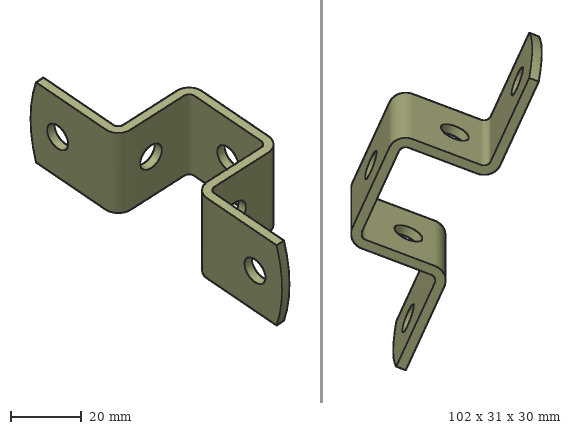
import cadquery as cq

length = 102.0
depth = 31.0
height = 30.0

thickness = 3.0
hat_width = 37.0
inner_radius = 2.0
outer_radius = inner_radius + thickness
end_radius = length / 2

hole_diameter = 8.5
flange_hole_x = 40.0
wall_hole_y = 13.1


def extrude_upright(sketch):
    """Extrude a plan outline to the strap height, centred on Z = 0."""
    return sketch.extrude(height / 2, both=True)


def block(width, y_min, y_max):
    """Full-height block centred on X, spanning y_min to y_max."""
    middle = (y_min + y_max) / 2
    return extrude_upright(cq.Workplane("XY").center(0, middle).rect(width, y_max - y_min))


def round_edges(body, y, radius):
    """Round the two upright edges of a body at the given Y."""
    margin = 0.1
    selector = cq.selectors.BoxSelector(
        (-hat_width, y - margin, -height), (hat_width, y + margin, height)
    )
    return body.edges("|Z").edges(selector).fillet(radius)


def bent_sheet():
    """Two flanges joined by a hat of two side walls and a web."""
    body = block(length, 0, thickness).union(block(hat_width, 0, depth))
    body = round_edges(body, thickness, inner_radius)
    body = round_edges(body, depth, outer_radius)
    channel = block(hat_width - 2 * thickness, 0, depth - thickness)
    body = body.cut(channel)
    body = round_edges(body, 0, outer_radius)
    return round_edges(body, depth - thickness, inner_radius)


def rounded_ends():
    """Disc that trims both flange ends to an arc."""
    return cq.Workplane("XZ").circle(end_radius).extrude(-depth)


def front_holes():
    """Holes along Y through the two flanges and the web."""
    centres = [(x, 0) for x in (-flange_hole_x, 0, flange_hole_x)]
    return cq.Workplane("XZ").pushPoints(centres).circle(hole_diameter / 2).extrude(-depth)


def wall_holes():
    """Hole along X through both side walls."""
    drill = cq.Workplane("YZ").center(wall_hole_y, 0).circle(hole_diameter / 2)
    return drill.extrude(hat_width / 2, both=True)


result = bent_sheet().intersect(rounded_ends()).cut(front_holes()).cut(wall_holes())